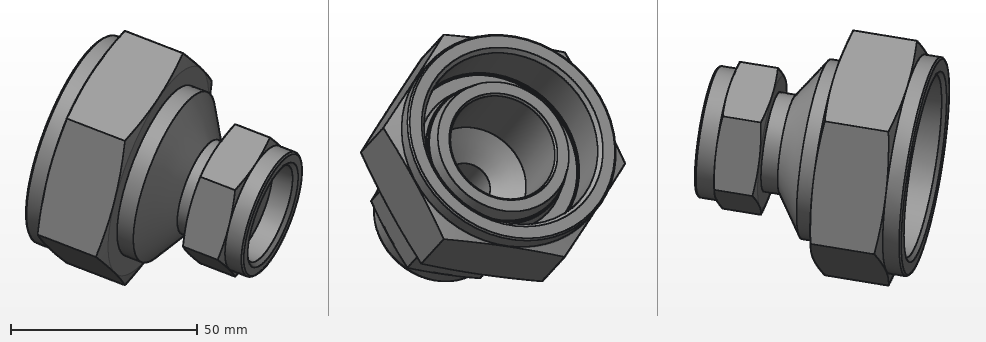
import cadquery as cq
import math

total_length = 59.6
large_nut_length = 25.0
small_nut_start = 42.2
collar_length = 5.0
small_collar_length = 5.4
small_nut_length = total_length - small_nut_start

large_corner_radius = 34.65
small_corner_radius = 20.8
large_collar_radius = 29.85
small_collar_radius = 17.95
rim_chamfer = 0.5
hex_chamfer_angle = 15.0
large_mouth_depth = 15.4
small_mouth_depth = 10.4
mouth_clearance = 0.35
mouth_chamfer = 1.1

shoulder_radius = 24.5
neck_radius = 13.6
shoulder_start = 16.3
taper_start = 29.9
taper_end = 37.6
spigot_start = 6.9
spigot_tip_radius = 18.8
spigot_cone_angle = 12.0
seal_band_start = 11.15
seal_band_end = 12.75
seal_band_bevel = 0.2
neck_end = total_length - spigot_start

wide_bore_radius = 14.95
narrow_bore_radius = 6.5
bore_mouth_chamfer = 0.55
bore_cone_start = taper_start
bore_cone_end = 34.85


def revolve_about_x(profile):
    """Turn a closed (x, radius) outline into a solid of revolution about the X axis."""
    return cq.Workplane("XY").polyline(profile).close().revolve(360, (0, 0, 0), (1, 0, 0))


def hexagon_block(corner_radius, start, end):
    """Hexagonal prism along X, flat on top, with both ends chamfered at the corners."""
    flat_radius = corner_radius * math.cos(math.radians(30))
    chamfer_depth = (corner_radius - flat_radius) * math.tan(math.radians(hex_chamfer_angle))
    prism = (
        cq.Workplane("YZ", origin=(start, 0, 0))
        .polygon(6, 2 * corner_radius)
        .extrude(end - start)
    )
    envelope = revolve_about_x([
        (start, 0),
        (start, flat_radius),
        (start + chamfer_depth, corner_radius),
        (end - chamfer_depth, corner_radius),
        (end, flat_radius),
        (end, 0),
    ])
    return prism.intersect(envelope)


def union_nut(length, corner_radius, collar_radius, collar, bore_radius, mouth_depth):
    """Nut along X with its mouth and round collar at x = 0."""
    mouth_radius = bore_radius + mouth_clearance
    collar_ring = revolve_about_x([
        (0, 0),
        (0, collar_radius - rim_chamfer),
        (rim_chamfer, collar_radius),
        (collar, collar_radius),
        (collar, 0),
    ])
    stepped_bore = revolve_about_x([
        (0, 0),
        (0, mouth_radius + mouth_chamfer),
        (mouth_chamfer, mouth_radius),
        (mouth_depth, mouth_radius),
        (mouth_depth, bore_radius),
        (length, bore_radius),
        (length, 0),
    ])
    return hexagon_block(corner_radius, collar, length).union(collar_ring).cut(stepped_bore)


def spigot_cone_radius(x):
    """Radius of the spigot's sealing cone at a position along the X axis."""
    return spigot_tip_radius + (x - spigot_start) * math.tan(math.radians(spigot_cone_angle))


def reducer_body():
    """Stepped tube joining the two nuts, with a bore that narrows inside the taper."""
    band_foot_radius = spigot_cone_radius(seal_band_start)
    band_radius = band_foot_radius + seal_band_bevel
    return revolve_about_x([
        (spigot_start, wide_bore_radius + bore_mouth_chamfer),
        (spigot_start, spigot_tip_radius),
        (seal_band_start, band_foot_radius),
        (seal_band_start + seal_band_bevel, band_radius),
        (seal_band_end, band_radius),
        (seal_band_end, spigot_cone_radius(seal_band_end)),
        (shoulder_start, spigot_cone_radius(shoulder_start)),
        (shoulder_start, shoulder_radius),
        (taper_start, shoulder_radius),
        (taper_end, neck_radius),
        (neck_end, neck_radius),
        (neck_end, narrow_bore_radius),
        (bore_cone_end, narrow_bore_radius),
        (bore_cone_start, wide_bore_radius),
        (spigot_start + bore_mouth_chamfer, wide_bore_radius),
    ])


large_nut = union_nut(
    large_nut_length, large_corner_radius, large_collar_radius, collar_length,
    shoulder_radius, large_mouth_depth,
)

small_nut = union_nut(
    small_nut_length, small_corner_radius, small_collar_radius, small_collar_length,
    neck_radius, small_mouth_depth,
).rotate((0, 0, 0), (0, 0, 1), 180).translate((total_length, 0, 0))

body = reducer_body()

result = cq.Compound.makeCompound([body.val(), large_nut.val(), small_nut.val()])